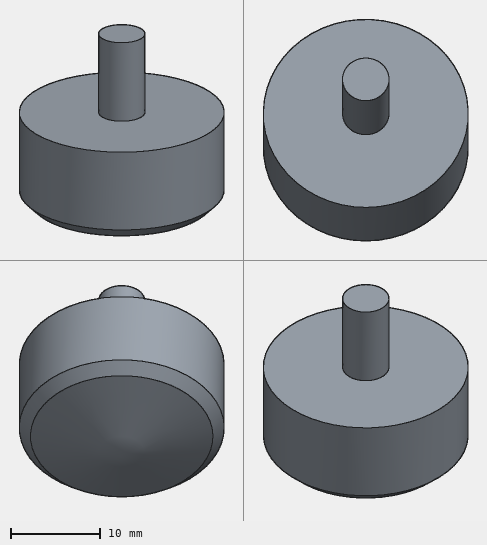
import cadquery as cq

total_height = 23.3
body_diameter = 22.9
stem_diameter = 5.2
stem_length = 9.53
chamfer = 1.25
tip_height = 3.08

body_radius = body_diameter / 2
stem_radius = stem_diameter / 2
tip_base_radius = body_radius - chamfer
body_bottom = tip_height + chamfer
body_top = total_height - stem_length

half_section = (
    cq.Workplane("XZ")
    .moveTo(0, 0)
    .lineTo(tip_base_radius, tip_height)
    .lineTo(body_radius, body_bottom)
    .lineTo(body_radius, body_top)
    .lineTo(stem_radius, body_top)
    .lineTo(stem_radius, total_height)
    .lineTo(0, total_height)
    .close()
)

result = half_section.revolve(360, (0, 0, 0), (0, 1, 0))